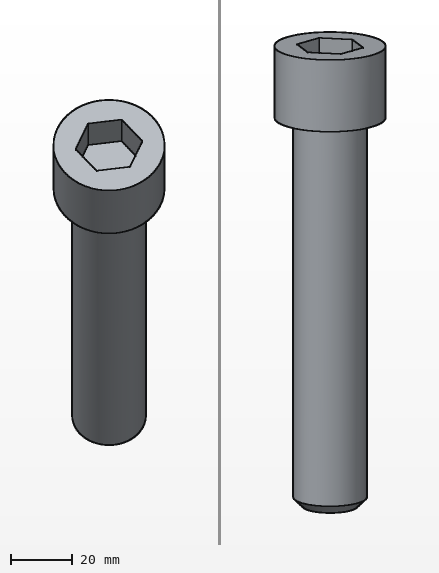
import cadquery as cq

total_length = 154.0
shank_diameter = 24.0
head_diameter = 1.5 * shank_diameter
head_height = shank_diameter
socket_across_corners = 21.9
socket_depth = head_height / 2
tip_chamfer = 3.1

shank_length = total_length - head_height

shank = (
    cq.Workplane("XY")
    .circle(shank_diameter / 2)
    .extrude(shank_length)
    .faces("<Z")
    .chamfer(tip_chamfer)
)

head = cq.Workplane("XY").workplane(offset=shank_length).circle(head_diameter / 2).extrude(head_height)

socket = (
    cq.Workplane("XY")
    .workplane(offset=total_length - socket_depth)
    .polygon(6, socket_across_corners)
    .extrude(socket_depth)
)

result = shank.union(head).cut(socket)